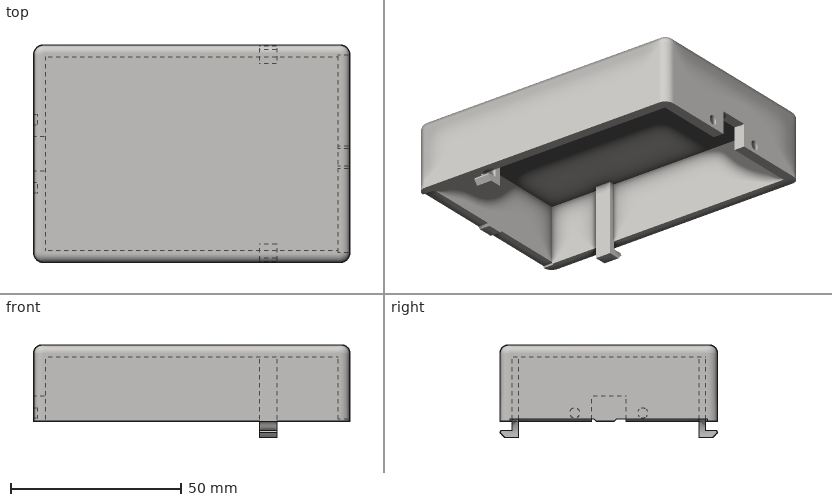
import cadquery as cq

length = 93.0
width = 64.0
total_height = 27.25
clip_drop = 4.7
cover_height = total_height - clip_drop

corner_radius = 3.0
top_edge_radius = 2.5
wall = 3.5

notch_width = 10.0
notch_height = 7.5
hole_diameter = 3.0
hole_spacing = 20.0
hole_height = 2.5
hole_depth = 1.2

relief_depth = 0.65
tab_offset = -1.0
tab_tip_width = 5.2
tab_root_width = tab_tip_width + 2 * relief_depth

clip_x = 22.5
clip_width = 5.2
clip_thickness = 1.95
hook_top_drop = 2.6
hook_tip_drop = 3.3
hook_top_setback = 0.4
hook_bottom_setback = 1.4


def make_shell():
    """Rounded box, hollow and open at the bottom."""
    outside = (
        cq.Workplane("XY")
        .rect(length, width)
        .extrude(cover_height)
        .edges("|Z")
        .fillet(corner_radius)
        .faces(">Z")
        .edges()
        .fillet(top_edge_radius)
    )
    cavity = (
        cq.Workplane("XY")
        .rect(length - 2 * wall, width - 2 * wall)
        .extrude(cover_height - wall)
    )
    return outside.cut(cavity)


def make_notch():
    """Rectangular opening through the -X wall, open at the rim."""
    opening = cq.Workplane("XY").box(
        wall, notch_width, notch_height, centered=(False, True, False)
    )
    return opening.translate((-length / 2, 0, 0))


def make_holes():
    """Pair of blind round holes in the -X wall, one each side of the notch."""
    return (
        cq.Workplane("YZ", origin=(-length / 2, 0, hole_height))
        .pushPoints([(-hole_spacing / 2, 0), (hole_spacing / 2, 0)])
        .circle(hole_diameter / 2)
        .extrude(hole_depth)
    )


def make_relief():
    """Shallow cut under the +X wall that leaves a tab with 45 degree sides standing."""
    strip = cq.Workplane("XY").box(
        wall, width - 2 * corner_radius, relief_depth, centered=(False, True, False)
    )
    tab = (
        cq.Workplane("YZ")
        .polyline(
            [
                (tab_offset - tab_tip_width / 2, 0),
                (tab_offset + tab_tip_width / 2, 0),
                (tab_offset + tab_root_width / 2, relief_depth),
                (tab_offset - tab_root_width / 2, relief_depth),
            ]
        )
        .close()
        .extrude(wall)
    )
    return strip.cut(tab).translate((length / 2 - wall, 0, 0))


def make_clip():
    """Snap clip on the -Y side: an upright against the wall with an outward hook."""
    outer = -width / 2
    upright_outer = outer + wall
    upright_inner = upright_outer + clip_thickness
    root = cover_height - wall
    return (
        cq.Workplane("YZ", origin=(clip_x - clip_width / 2, 0, 0))
        .polyline(
            [
                (upright_inner, root),
                (upright_outer, root),
                (upright_outer, -hook_top_drop),
                (outer + hook_top_setback, -hook_top_drop),
                (outer, -hook_tip_drop),
                (outer + hook_bottom_setback, -clip_drop),
                (upright_inner, -clip_drop),
            ]
        )
        .close()
        .extrude(clip_width)
    )


cover = make_shell().cut(make_notch()).cut(make_holes()).cut(make_relief())
clip = make_clip()
result = cover.union(clip).union(clip.mirror("XZ"))